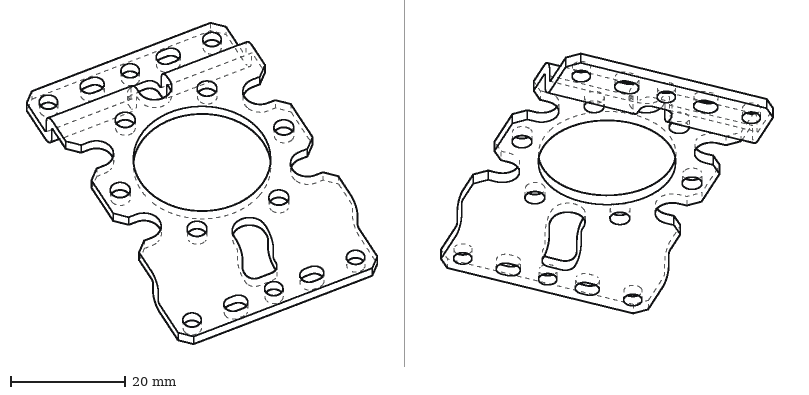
import cadquery as cq

length = 63.0
width = 39.0
height = 7.75

thickness = 2.1
web_outer_x = 21.8
web_inner_x = web_outer_x - thickness
inner_bend_radius = 0.6
outer_bend_radius = inner_bend_radius + thickness

chamfer = 2.0

notch_x = 9.25
notch_width = 6.0
notch_depth = 6.5

bore_diameter = 24.0
plate_hole_diameter = 3.45
plate_hole_x = 14.0
plate_hole_y = 8.0

flange_hole_x = 28.0
flange_hole_diameter = 3.2
flange_slot_y = 7.45
flange_slot_length = 4.3

end_hole_y = 16.0

window_inner_x = 15.5
window_outer_x = 24.6
window_width = notch_width
window_inner_radius = 2.95
window_outer_radius = 1.75

SIDES = (-1, 1)


def extrude_through(sketch):
    """Extrude a sketch on the base plane through the full height."""
    return sketch.extrude(height)


def bent_sheet():
    """Raised plate on two upright webs, with a flange at the foot of each web."""
    plate_underside = height - thickness
    right_half = [
        (web_inner_x, plate_underside),
        (web_inner_x, 0),
        (length / 2, 0),
        (length / 2, thickness),
        (web_outer_x, thickness),
        (web_outer_x, height),
    ]
    left_half = [(-x, z) for x, z in reversed(right_half)]
    sheet = cq.Workplane("XZ").polyline(right_half + left_half).close().extrude(width / 2, both=True)

    bends = (
        (web_outer_x, height, outer_bend_radius),
        (web_inner_x, plate_underside, inner_bend_radius),
        (web_inner_x, 0, outer_bend_radius),
        (web_outer_x, thickness, inner_bend_radius),
    )
    for side in SIDES:
        for x, z, radius in bends:
            sheet = sheet.edges(cq.NearestToPointSelector((side * x, 0, z))).fillet(radius)
    return sheet


def edge_notch(side_x, side_y):
    """Round-bottomed notch with a chamfered mouth on a long edge."""
    half = notch_width / 2
    edge_y = width / 2
    bottom_y = edge_y - notch_depth
    sketch = (
        cq.Workplane("XY")
        .moveTo(side_x * notch_x - half - chamfer, side_y * edge_y)
        .lineTo(side_x * notch_x - half, side_y * (edge_y - chamfer))
        .lineTo(side_x * notch_x - half, side_y * (bottom_y + half))
        .threePointArc(
            (side_x * notch_x, side_y * bottom_y),
            (side_x * notch_x + half, side_y * (bottom_y + half)),
        )
        .lineTo(side_x * notch_x + half, side_y * (edge_y - chamfer))
        .lineTo(side_x * notch_x + half + chamfer, side_y * edge_y)
        .close()
    )
    return extrude_through(sketch)


def web_window(side):
    """Window through a web: nearly round toward the bore, small corners on the flange."""
    window_length = window_outer_x - window_inner_x
    centre_x = side * (window_outer_x + window_inner_x) / 2
    sketch = cq.Workplane("XY").center(centre_x, 0).rect(window_length, window_width)
    outer_face, inner_face = (">X", "<X") if side > 0 else ("<X", ">X")
    window = extrude_through(sketch)
    window = window.faces(outer_face).edges("|Z").fillet(window_outer_radius)
    return window.faces(inner_face).edges("|Z").fillet(window_inner_radius)


def plate_holes():
    """Central bore and the six screw holes around it."""
    centres = [(x * plate_hole_x, y * plate_hole_y) for x in SIDES for y in SIDES]
    centres += [(0, y * end_hole_y) for y in SIDES]
    bore = extrude_through(cq.Workplane("XY").circle(bore_diameter / 2))
    holes = extrude_through(cq.Workplane("XY").pushPoints(centres).circle(plate_hole_diameter / 2))
    return bore.union(holes)


def flange_holes():
    """Three round holes and two slots along each flange."""
    hole_centres = [(x * flange_hole_x, y * end_hole_y) for x in SIDES for y in (-1, 0, 1)]
    slot_centres = [(x * flange_hole_x, y * flange_slot_y) for x in SIDES for y in SIDES]
    holes = extrude_through(cq.Workplane("XY").pushPoints(hole_centres).circle(flange_hole_diameter / 2))
    slots = extrude_through(
        cq.Workplane("XY").pushPoints(slot_centres).slot2D(flange_slot_length, flange_hole_diameter, 90)
    )
    return holes.union(slots)


bracket = bent_sheet()
bracket = bracket.faces("<X or >X").edges("|Z").chamfer(chamfer)
bracket = bracket.cut(plate_holes()).cut(flange_holes())
for side_x in SIDES:
    bracket = bracket.cut(web_window(side_x))
    for side_y in SIDES:
        bracket = bracket.cut(edge_notch(side_x, side_y))

result = bracket